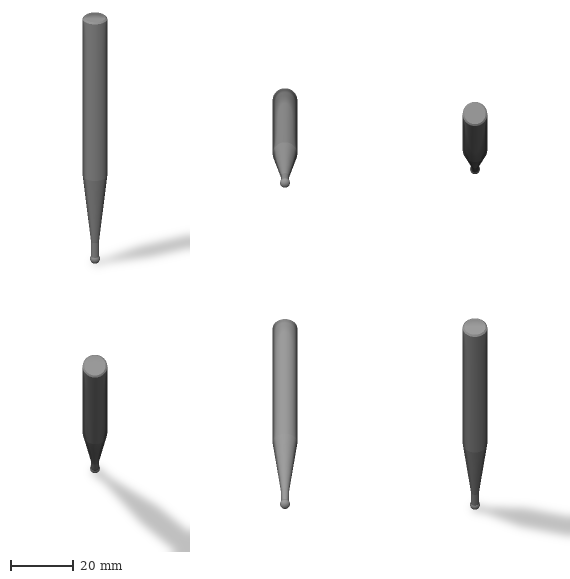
import cadquery as cq
import math

total_length = 88.9

shank_diameter = 7.9
shank_bottom = 31.7
chamfer_size = 0.51

taper_end_diameter = 2.7
taper_bottom = 8.2
blend_height = 0.3

neck_diameter = 2.6

ball_diameter = 3.2
stub_height = 0.2

shank_radius = shank_diameter / 2
taper_end_radius = taper_end_diameter / 2
neck_top = taper_bottom - blend_height
neck_radius = neck_diameter / 2
ball_radius = ball_diameter / 2

ball_top = ball_radius + math.sqrt(ball_radius**2 - neck_radius**2)
joint_height = ball_top + stub_height


def revolve_about_z(profile):
    """Turn a closed XZ profile fully around the tool axis."""
    return profile.revolve(360, (0, 0, 0), (0, 1, 0))


def make_shank():
    """Chamfered shank, tapering down to the straight neck."""
    profile = (
        cq.Workplane("XZ")
        .moveTo(0, joint_height)
        .lineTo(neck_radius, joint_height)
        .lineTo(neck_radius, neck_top)
        .lineTo(taper_end_radius, taper_bottom)
        .lineTo(shank_radius, shank_bottom)
        .lineTo(shank_radius, total_length - chamfer_size)
        .lineTo(shank_radius - chamfer_size, total_length)
        .lineTo(0, total_length)
        .close()
    )
    return revolve_about_z(profile)


def make_head():
    """Ball cutting head with its flat-topped stub."""
    profile = (
        cq.Workplane("XZ")
        .lineTo(0, joint_height)
        .lineTo(neck_radius, joint_height)
        .lineTo(neck_radius, ball_top)
        .threePointArc((ball_radius, ball_radius), (0, 0))
        .close()
    )
    return revolve_about_z(profile)


shank = make_shank()
head = make_head()

result = cq.Compound.makeCompound([shank.val(), head.val()])